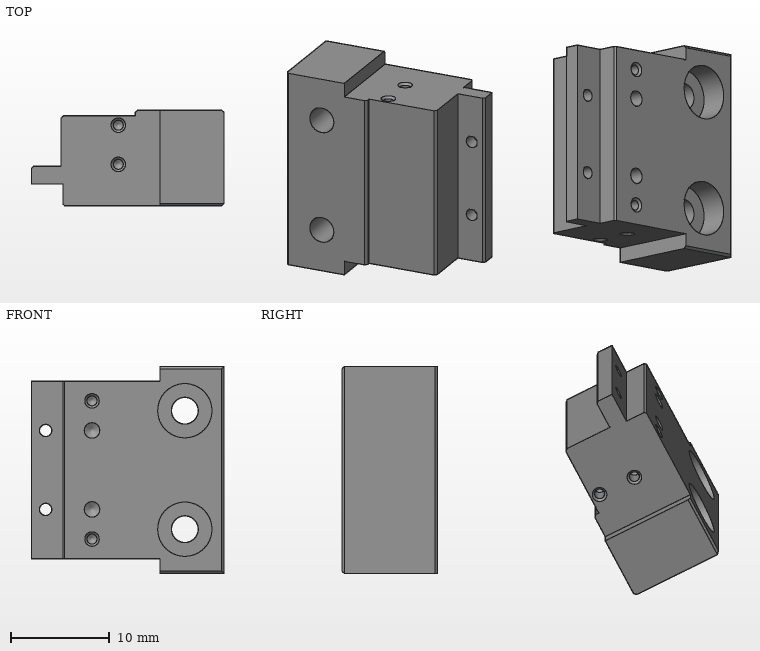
import cadquery as cq
import math

length = 19.55
depth = 9.7
height = 21.0

tab_front = 2.2
tab_back = 4.01
tab_chamfer = 0.23
body_front_left = 3.2
body_back_left = 3.0
body_back = 9.14
pad_left = 10.52
edge_chamfer = 0.25
front_left_chamfer = 0.19

body_height = 18.02
flange_left = 13.05

drill_point_angle = 118.0
tab_hole_x = 1.45
tab_hole_diameter = 1.22
dowel_spacing = 8.0
dowel_diameter = 1.58
dowel_depth = 2.95
thread_spacing = 14.0
thread_diameter = 1.0
countersink_diameter = 1.47
thread_depth = 2.52
front_hole_x = 6.15
end_hole_x = 8.82
end_hole_ys = (4.2, 8.17)
bolt_x = 15.56
bolt_spacing = 12.01
bolt_diameter = 2.69
counterbore_diameter = 5.5
counterbore_depth = 2.9


def make_block():
    """Extruded profile with its Z ends stepped down left of the flange."""
    outline = [
        (0, tab_front),
        (body_front_left, tab_front),
        (body_front_left, front_left_chamfer),
        (body_front_left + front_left_chamfer, 0),
        (length - edge_chamfer, 0),
        (length, edge_chamfer),
        (length, depth - edge_chamfer),
        (length - edge_chamfer, depth),
        (pad_left + edge_chamfer, depth),
        (pad_left, depth - edge_chamfer),
        (pad_left, body_back),
        (body_back_left + edge_chamfer, body_back),
        (body_back_left, body_back - edge_chamfer),
        (body_back_left, tab_back),
        (tab_chamfer, tab_back),
        (0, tab_back - tab_chamfer),
    ]
    profile = cq.Workplane("XY").polyline(outline).close()
    block = profile.extrude(height / 2, both=True)
    body_zone = cq.Workplane("XY").box(flange_left, depth, body_height, centered=(False, False, True))
    flange_zone = (
        cq.Workplane("XY")
        .box(length - flange_left, depth, height, centered=(False, False, True))
        .faces("<Y")
        .edges("|X")
        .chamfer(edge_chamfer)
        .translate((flange_left, 0, 0))
    )
    return block.intersect(body_zone.union(flange_zone))


def cylinder(diameter, cut_depth, start, direction):
    """Cylinder running from a start point into the part."""
    return cq.Solid.makeCylinder(diameter / 2, cut_depth, cq.Vector(*start), cq.Vector(*direction))


def blind_hole(diameter, cut_depth, start, direction):
    """Drilled hole with a conical tip."""
    tip_height = diameter / 2 / math.tan(math.radians(drill_point_angle / 2))
    tip_start = cq.Vector(*start) + cq.Vector(*direction) * cut_depth
    tip = cq.Solid.makeCone(diameter / 2, 0, tip_height, tip_start, cq.Vector(*direction))
    return cylinder(diameter, cut_depth, start, direction).fuse(tip)


def threaded_hole(start, direction):
    """Blind hole with a 90 degree countersunk mouth."""
    sink_depth = (countersink_diameter - thread_diameter) / 2
    countersink = cq.Solid.makeCone(
        countersink_diameter / 2,
        thread_diameter / 2,
        sink_depth,
        cq.Vector(*start),
        cq.Vector(*direction),
    )
    return blind_hole(thread_diameter, thread_depth, start, direction).fuse(countersink)


result = make_block()
backward = (0, 1, 0)

for side in (-1, 1):
    dowel_z = side * dowel_spacing / 2
    thread_z = side * thread_spacing / 2
    bolt_z = side * bolt_spacing / 2

    result = result.cut(cylinder(tab_hole_diameter, depth, (tab_hole_x, 0, dowel_z), backward))
    result = result.cut(blind_hole(dowel_diameter, dowel_depth, (front_hole_x, 0, dowel_z), backward))
    result = result.cut(threaded_hole((front_hole_x, 0, thread_z), backward))
    result = result.cut(cylinder(bolt_diameter, depth, (bolt_x, 0, bolt_z), backward))
    result = result.cut(cylinder(counterbore_diameter, counterbore_depth, (bolt_x, 0, bolt_z), backward))

    for hole_y in end_hole_ys:
        end_start = (end_hole_x, hole_y, side * body_height / 2)
        result = result.cut(threaded_hole(end_start, (0, 0, -side)))